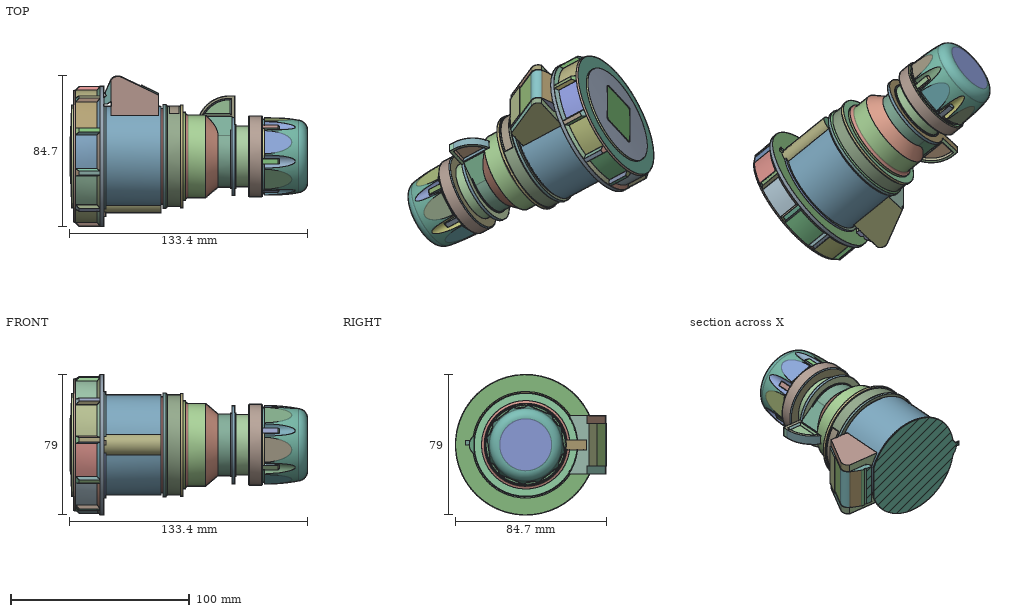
import cadquery as cq
import math

OVERALL_LENGTH = 133.35
OVERALL_DEPTH = 84.73

LID_RADIUS = 28.9
LID_PLATE_X = 0.1
DOME_HEIGHT = 0.8
RING_FRONT_X = 2.0
RING_FLOOR_RADIUS = 37.3
RING_CHAMFER_LENGTH = 1.1
RING_CHAMFER_DROP = 0.4
RIB_RADIUS = 39.3
RIB_START_X = 3.1
RIB_FULL_X = 5.1
RIB_COUNT = 10
RIB_FIRST_ANGLE = 4.2
RIB_TOP_WIDTH = 2.2
RIB_BASE_WIDTH = 4.2
RIB_EMBED = 1.0
FLANGE_RADIUS = 39.5
FLANGE_SLOPE_X = 15.1
FLANGE_START_X = 16.8
FLANGE_END_X = 19.0
BADGE_WIDTH = 21.9
BADGE_HEIGHT = 29.4
BADGE_CORNER = 1.5

BODY_RADIUS = 28.2
STOP_COLLAR_RADIUS = 29.9
STOP_COLLAR_END_X = 20.1
BODY_END_X = 51.1
GROOVE_RADIUS = 27.0
COLLAR_START_X = 52.1
COLLAR_END_X = 63.5
FRONT_RIM_RADIUS = 29.2
FRONT_RIM_END_X = 53.8
FRONT_RIM_FOOT_X = 54.6
REAR_RIM_RADIUS = 28.9
REAR_RIM_START_X = 61.9
NECK_RADIUS = 23.3
NECK_FILLET = 1.5
NECK_STEP_LENGTH = 1.2
CONE_START_X = 76.0
CONE_END_X = 83.0
THROAT_RADIUS = 17.4
REAR_THROAT_RADIUS = 17.1
NECK_FLANGE_START_X = 90.8
NECK_FLANGE_END_X = 92.5
NECK_FLANGE_RADIUS = 22.0
NECK_BEAD_RADIUS = 17.9
NECK_BEAD_WIDTH = 0.7

KEY_REACH = 31.7
KEY_RADIUS = 6.05
TAB_REACH = 33.8
TAB_WIDTH = 2.5
TAB_CENTER_Z = 1.1

LATCH_ROOT_Y = 20.0
HOUSING_HALF_WIDTH = 16.4
HOUSING_START_X = 23.0
HOUSING_END_X = 49.7
HOUSING_CROWN_X = 26.8
HOUSING_CROWN_Y = 40.5
CROWN_RADIUS = 4.45
SLOPE_ANGLE = 25.7
LATCH_HALF_WIDTH = 12.0
LATCH_REACH = OVERALL_DEPTH - FLANGE_RADIUS
LATCH_FRONT_ANGLE = 60.0
LATCH_TIP_X = 21.9
LATCH_TIP_Y = 35.6
LATCH_TIP_RADIUS = 2.2
THUMB_START_X = 40.0
THUMB_HEIGHT = 0.6
HINGE_LOW_Y = 29.4
HINGE_HIGH_Y = 33.0
HINGE_TAPER_X = 20.8
HINGE_TAPER_Y = 30.8

EAR_REACH = 34.0
EAR_ARC_RADIUS = 18.5
EAR_ARC_CENTER_X = 89.5
EAR_HALF_WIDTH = 2.8
EAR_WEB_HALF_WIDTH = 1.4
EAR_RIM_WIDTH = 1.4
EAR_RECESS_END_X = 90.6
EAR_RECESS_TAPER = 30.0
EAR_RECESS_LOW_Y = 23.3
PEDESTAL_TANGENT_ANGLE = 47.0
PAD_START_X = 55.7
PAD_END_X = 61.0
PAD_THICKNESS = 0.2
PAD_EDGE_Y = 24.2

NUT_START_X = 100.0
NUT_END_X = 108.1
NUT_RADIUS = 22.8
NUT_CHAMFER = 0.6
CAP_START_X = 109.0
CAP_GAP_RADIUS = 21.0
CAP_START_RADIUS = 22.15
CAP_MID_X = 119.0
CAP_MID_RADIUS = 21.65
CAP_SHOULDER_X = 128.1
CAP_SHOULDER_RADIUS = 20.4
CAP_NOSE_X = 132.0
CAP_NOSE_RADIUS = 18.3
CAP_END_RADIUS = 14.5
CAP_GRIPS = 6
GRIP_FIRST_ANGLE = 22.4
FLAT_DISTANCE = 21.0
FLUTE_RADIUS = 4.0
FLUTE_START_DEPTH_RADIUS = 19.0
FLUTE_TIP_X = 126.5
FLUTE_TIP_RADIUS = 20.7
GRIP_TAB_WIDTH = 3.0
GRIP_TAB_TOP = 21.2
GRIP_TAB_FLAT_X = 116.6
GRIP_TAB_END_X = 118.1


def revolve_about_x(outline):
    """Revolve a closed XY outline about the part axis."""
    return outline.close().revolve(360, (0, 0, 0), (1, 0, 0))


def cylinder_x(radius, start_x, end_x):
    return cq.Workplane("YZ", origin=(start_x, 0, 0)).circle(radius).extrude(end_x - start_x)


def block(x_range, y_range, half_width, center_z=0.0):
    size_x = x_range[1] - x_range[0]
    size_y = y_range[1] - y_range[0]
    center = (sum(x_range) / 2, sum(y_range) / 2, center_z)
    return cq.Workplane("XY").box(size_x, size_y, 2 * half_width).translate(center)


def around_axis(shape, angle):
    """Turn a feature built on the -Y side towards +Z by the given angle."""
    return shape.rotate((0, 0, 0), (1, 0, 0), -angle)


def make_lid_and_ring():
    dome_edge_x = LID_PLATE_X + DOME_HEIGHT
    dome_sphere = (LID_RADIUS ** 2 + DOME_HEIGHT ** 2) / (2 * DOME_HEIGHT)
    half_angle = math.asin(LID_RADIUS / dome_sphere) / 2
    dome_mid_x = LID_PLATE_X + dome_sphere * (1 - math.cos(half_angle))
    dome_mid_radius = dome_sphere * math.sin(half_angle)
    outline = (
        cq.Workplane("XY")
        .moveTo(LID_PLATE_X, 0)
        .threePointArc((dome_mid_x, dome_mid_radius), (dome_edge_x, LID_RADIUS))
        .lineTo(RING_FRONT_X, LID_RADIUS)
        .lineTo(RING_FRONT_X, RING_FLOOR_RADIUS - RING_CHAMFER_DROP)
        .lineTo(RING_FRONT_X + RING_CHAMFER_LENGTH, RING_FLOOR_RADIUS)
        .lineTo(FLANGE_SLOPE_X, RING_FLOOR_RADIUS)
        .lineTo(FLANGE_START_X, RIB_RADIUS)
        .lineTo(FLANGE_START_X, FLANGE_RADIUS)
        .lineTo(FLANGE_END_X, FLANGE_RADIUS)
        .lineTo(FLANGE_END_X, 0)
    )
    badge = (
        cq.Workplane("YZ")
        .rect(BADGE_WIDTH, BADGE_HEIGHT)
        .extrude(dome_edge_x)
        .edges("|X")
        .fillet(BADGE_CORNER)
    )
    return revolve_about_x(outline).union(badge)


def make_ring_ribs():
    envelope = revolve_about_x(
        cq.Workplane("XY")
        .moveTo(RIB_START_X, 0)
        .lineTo(RIB_START_X, RING_FLOOR_RADIUS)
        .lineTo(RIB_FULL_X, RIB_RADIUS)
        .lineTo(FLANGE_END_X, RIB_RADIUS)
        .lineTo(FLANGE_END_X, 0)
    )
    root_radius = RING_FLOOR_RADIUS - RIB_EMBED
    rib = (
        cq.Workplane("YZ", origin=(RIB_START_X, 0, 0))
        .polyline([
            (-root_radius, -RIB_BASE_WIDTH / 2),
            (-RING_FLOOR_RADIUS, -RIB_BASE_WIDTH / 2),
            (-FLANGE_RADIUS, -RIB_TOP_WIDTH / 2),
            (-FLANGE_RADIUS, RIB_TOP_WIDTH / 2),
            (-RING_FLOOR_RADIUS, RIB_BASE_WIDTH / 2),
            (-root_radius, RIB_BASE_WIDTH / 2),
        ])
        .close()
        .extrude(FLANGE_START_X - RIB_START_X)
    )
    ribs = cq.Workplane("XY")
    for index in range(RIB_COUNT):
        ribs = ribs.add(around_axis(rib, RIB_FIRST_ANGLE + index * 360 / RIB_COUNT))
    return ribs.combine().intersect(envelope)


def make_body():
    step_x = COLLAR_END_X + NECK_STEP_LENGTH
    outline = (
        cq.Workplane("XY")
        .moveTo(RING_FRONT_X, 0)
        .lineTo(RING_FRONT_X, BODY_RADIUS)
        .lineTo(BODY_END_X, BODY_RADIUS)
        .lineTo(BODY_END_X, GROOVE_RADIUS)
        .lineTo(COLLAR_START_X, GROOVE_RADIUS)
        .lineTo(COLLAR_START_X, FRONT_RIM_RADIUS)
        .lineTo(FRONT_RIM_END_X, FRONT_RIM_RADIUS)
        .lineTo(FRONT_RIM_FOOT_X, BODY_RADIUS)
        .lineTo(REAR_RIM_START_X, BODY_RADIUS)
        .lineTo(REAR_RIM_START_X, REAR_RIM_RADIUS)
        .lineTo(COLLAR_END_X, REAR_RIM_RADIUS)
        .lineTo(COLLAR_END_X, NECK_RADIUS + NECK_FILLET)
        .lineTo(step_x, NECK_RADIUS + NECK_FILLET)
        .radiusArc((step_x + NECK_FILLET, NECK_RADIUS), -NECK_FILLET)
        .lineTo(CONE_START_X, NECK_RADIUS)
        .lineTo(CONE_END_X, THROAT_RADIUS)
        .lineTo(NECK_FLANGE_END_X, THROAT_RADIUS)
        .lineTo(NECK_FLANGE_END_X, REAR_THROAT_RADIUS)
        .lineTo(NUT_START_X, REAR_THROAT_RADIUS)
        .lineTo(NUT_START_X, 0)
    )
    body = revolve_about_x(outline)
    flange = cylinder_x(NECK_FLANGE_RADIUS, NECK_FLANGE_START_X, NECK_FLANGE_END_X)
    bead = cylinder_x(
        NECK_BEAD_RADIUS, NECK_FLANGE_START_X - NECK_BEAD_WIDTH, NECK_FLANGE_END_X + NECK_BEAD_WIDTH
    )
    stop_collar = cylinder_x(STOP_COLLAR_RADIUS, FLANGE_END_X, STOP_COLLAR_END_X)
    hinge_side = block(
        (FLANGE_END_X, STOP_COLLAR_END_X), (BODY_RADIUS, STOP_COLLAR_RADIUS), HOUSING_HALF_WIDTH
    )
    return body.union(flange).union(bead).union(stop_collar.cut(hinge_side))


def make_key_side():
    lug = cylinder_x(KEY_RADIUS, FLANGE_END_X, BODY_END_X).translate((0, KEY_RADIUS - KEY_REACH, 0))
    tab = block(
        (FLANGE_END_X, STOP_COLLAR_END_X), (-TAB_REACH, -BODY_RADIUS), TAB_WIDTH / 2, TAB_CENTER_Z
    )
    return lug.union(tab)


def crown_point(radius, angle):
    """Point on the rounded crown of the latch, angle measured from +X."""
    turn = math.radians(angle)
    return (HOUSING_CROWN_X + radius * math.cos(turn), HOUSING_CROWN_Y + radius * math.sin(turn))


def slope_height(radius, x):
    """Y of the sloping back, tangent to the crown, at the given x."""
    tangent = crown_point(radius, 90 - SLOPE_ANGLE)
    return tangent[1] - (x - tangent[0]) * math.tan(math.radians(SLOPE_ANGLE))


def make_housing():
    crown_left_y = HOUSING_CROWN_Y + math.sqrt(
        CROWN_RADIUS ** 2 - (HOUSING_CROWN_X - HOUSING_START_X) ** 2
    )
    return (
        cq.Workplane("XY")
        .moveTo(HOUSING_START_X, LATCH_ROOT_Y)
        .lineTo(HOUSING_START_X, crown_left_y)
        .threePointArc(crown_point(CROWN_RADIUS, 90), crown_point(CROWN_RADIUS, 90 - SLOPE_ANGLE))
        .lineTo(HOUSING_END_X, slope_height(CROWN_RADIUS, HOUSING_END_X))
        .lineTo(HOUSING_END_X, LATCH_ROOT_Y)
        .close()
        .extrude(HOUSING_HALF_WIDTH, both=True)
    )


def make_latch():
    radius = LATCH_REACH - HOUSING_CROWN_Y
    front_angle = 90 + LATCH_FRONT_ANGLE
    turn = math.radians(front_angle)
    tip_start = (
        LATCH_TIP_X + LATCH_TIP_RADIUS * math.cos(turn),
        LATCH_TIP_Y + LATCH_TIP_RADIUS * math.sin(turn),
    )
    tip_mid = (LATCH_TIP_X - LATCH_TIP_RADIUS, LATCH_TIP_Y)
    tip_low_y = LATCH_TIP_Y - LATCH_TIP_RADIUS
    arm = (
        cq.Workplane("XY")
        .moveTo(*tip_start)
        .lineTo(*crown_point(radius, front_angle))
        .threePointArc(crown_point(radius, 90), crown_point(radius, 90 - SLOPE_ANGLE))
        .lineTo(HOUSING_END_X, slope_height(radius, HOUSING_END_X))
        .lineTo(HOUSING_END_X, tip_low_y)
        .lineTo(LATCH_TIP_X, tip_low_y)
        .threePointArc(tip_mid, tip_start)
        .close()
        .extrude(LATCH_HALF_WIDTH, both=True)
    )
    thumb_radius = radius + THUMB_HEIGHT
    thumb_pad = (
        cq.Workplane("XY")
        .polyline([
            (THUMB_START_X, slope_height(thumb_radius, THUMB_START_X)),
            (HOUSING_END_X, slope_height(thumb_radius, HOUSING_END_X)),
            (HOUSING_END_X, tip_low_y),
            (THUMB_START_X, tip_low_y),
        ])
        .close()
        .extrude(LATCH_HALF_WIDTH, both=True)
    )
    hinge = (
        cq.Workplane("XY")
        .polyline([
            (FLANGE_START_X, HINGE_LOW_Y),
            (HINGE_TAPER_X, HINGE_LOW_Y),
            (HOUSING_START_X, HINGE_TAPER_Y),
            (HOUSING_START_X, LATCH_TIP_Y),
            (LATCH_TIP_X, LATCH_TIP_Y),
            (FLANGE_END_X, HINGE_HIGH_Y),
            (FLANGE_START_X, HINGE_HIGH_Y),
        ])
        .close()
        .extrude(LATCH_HALF_WIDTH, both=True)
    )
    return arm.union(thumb_pad).union(hinge)


def quarter_fin(arc_radius, end_x, low_y):
    """Outline of a fin bounded by the ear arc, a back line at end_x and a bottom line at low_y."""
    center_y = EAR_REACH - EAR_ARC_RADIUS
    low_angle = math.asin((low_y - center_y) / arc_radius)
    low_x = EAR_ARC_CENTER_X - arc_radius * math.cos(low_angle)
    mid_angle = (low_angle + math.pi / 2) / 2
    mid_point = (
        EAR_ARC_CENTER_X - arc_radius * math.cos(mid_angle),
        center_y + arc_radius * math.sin(mid_angle),
    )
    return (
        cq.Workplane("XY")
        .moveTo(low_x, low_y)
        .threePointArc(mid_point, (EAR_ARC_CENTER_X, center_y + arc_radius))
        .lineTo(end_x, center_y + arc_radius)
        .lineTo(end_x, low_y)
        .close()
    )


def make_ear():
    fin = quarter_fin(EAR_ARC_RADIUS, NECK_FLANGE_END_X, EAR_REACH - EAR_ARC_RADIUS)
    recess = (
        quarter_fin(EAR_ARC_RADIUS - EAR_RIM_WIDTH, EAR_RECESS_END_X, EAR_RECESS_LOW_Y)
        .extrude(EAR_WEB_HALF_WIDTH - EAR_HALF_WIDTH, taper=EAR_RECESS_TAPER)
        .translate((0, 0, EAR_HALF_WIDTH))
    )
    return fin.extrude(EAR_HALF_WIDTH, both=True).cut(recess).cut(recess.mirror("XY"))


def make_pedestal():
    """Wedge tangent to the throat that carries the ear between the cone and the neck flange."""
    turn = math.radians(PEDESTAL_TANGENT_ANGLE)
    tangent_y = THROAT_RADIUS * math.cos(turn)
    tangent_z = THROAT_RADIUS * math.sin(turn)
    apex_y = THROAT_RADIUS / math.cos(turn)
    wedge = (
        cq.Workplane("YZ", origin=(CONE_START_X, 0, 0))
        .polyline([(0, 0), (tangent_y, -tangent_z), (apex_y, 0), (tangent_y, tangent_z)])
        .close()
        .extrude(NECK_FLANGE_START_X - CONE_START_X)
    )
    return wedge.intersect(cylinder_x(NECK_RADIUS, CONE_START_X, NECK_FLANGE_START_X))


def make_collar_pad():
    x_range = (PAD_START_X, PAD_END_X)
    pad_radius = BODY_RADIUS + PAD_THICKNESS
    return cylinder_x(pad_radius, *x_range).intersect(
        block(x_range, (PAD_EDGE_Y, pad_radius), pad_radius)
    )


def make_nut():
    outline = (
        cq.Workplane("XY")
        .moveTo(NUT_START_X, 0)
        .lineTo(NUT_START_X, NUT_RADIUS - NUT_CHAMFER)
        .lineTo(NUT_START_X + NUT_CHAMFER, NUT_RADIUS)
        .lineTo(NUT_END_X - NUT_CHAMFER, NUT_RADIUS)
        .lineTo(NUT_END_X, NUT_RADIUS - NUT_CHAMFER)
        .lineTo(NUT_END_X, CAP_GAP_RADIUS)
        .lineTo(CAP_START_X, CAP_GAP_RADIUS)
        .lineTo(CAP_START_X, 0)
    )
    return revolve_about_x(outline)


def make_cap():
    outline = (
        cq.Workplane("XY")
        .moveTo(NUT_END_X, 0)
        .lineTo(NUT_END_X, CAP_GAP_RADIUS)
        .lineTo(CAP_START_X, CAP_GAP_RADIUS)
        .lineTo(CAP_START_X, CAP_START_RADIUS)
        .threePointArc((CAP_MID_X, CAP_MID_RADIUS), (CAP_SHOULDER_X, CAP_SHOULDER_RADIUS))
        .threePointArc((CAP_NOSE_X, CAP_NOSE_RADIUS), (OVERALL_LENGTH, CAP_END_RADIUS))
        .lineTo(OVERALL_LENGTH, 0)
    )
    cap = revolve_about_x(outline)
    flats = (
        cq.Workplane("YZ", origin=(NUT_END_X, 0, 0))
        .polygon(CAP_GRIPS, 2 * FLAT_DISTANCE / math.cos(math.pi / CAP_GRIPS))
        .extrude(OVERALL_LENGTH - NUT_END_X)
    )
    cap = cap.intersect(around_axis(flats, GRIP_FIRST_ANGLE))

    flute_length = FLUTE_TIP_X - CAP_START_X
    flute_rise = FLUTE_TIP_RADIUS - FLUTE_START_DEPTH_RADIUS
    flute_tilt = math.degrees(math.atan2(flute_rise, flute_length))
    flute_start = (CAP_START_X, -FLUTE_START_DEPTH_RADIUS, 0)
    flute = (
        cylinder_x(FLUTE_RADIUS, CAP_START_X, OVERALL_LENGTH)
        .translate((0, -FLUTE_START_DEPTH_RADIUS - FLUTE_RADIUS, 0))
        .rotate(flute_start, (CAP_START_X, -FLUTE_START_DEPTH_RADIUS, 1), -flute_tilt)
    )
    grip_tab = (
        cq.Workplane("XY")
        .polyline([
            (NUT_END_X, -FLUTE_START_DEPTH_RADIUS + FLUTE_RADIUS),
            (NUT_END_X, -GRIP_TAB_TOP),
            (GRIP_TAB_FLAT_X, -GRIP_TAB_TOP),
            (GRIP_TAB_END_X, -FLUTE_START_DEPTH_RADIUS),
            (GRIP_TAB_END_X, -FLUTE_START_DEPTH_RADIUS + FLUTE_RADIUS),
        ])
        .close()
        .extrude(GRIP_TAB_WIDTH / 2, both=True)
    )
    for index in range(CAP_GRIPS):
        angle = GRIP_FIRST_ANGLE + index * 360 / CAP_GRIPS
        cap = cap.cut(around_axis(flute, angle)).union(around_axis(grip_tab, angle))
    return cap


result = make_lid_and_ring().union(make_ring_ribs()).union(make_body()).union(make_key_side())
result = result.union(make_housing()).union(make_latch()).union(make_ear())
result = result.union(make_pedestal()).union(make_collar_pad())
result = result.union(make_nut()).union(make_cap())